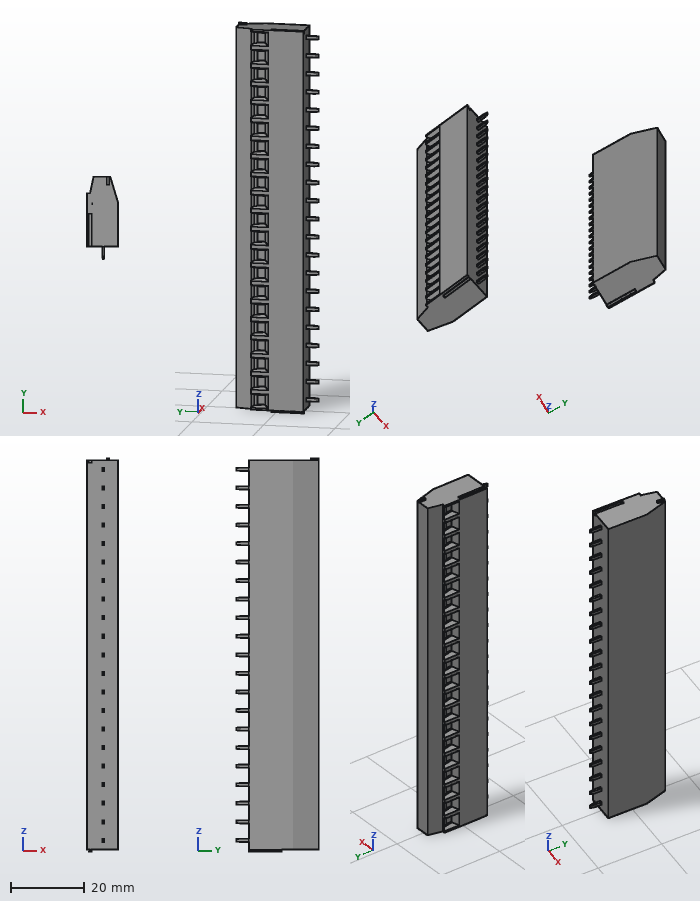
import cadquery as cq

POLES = 21
TOTAL_LENGTH = 107.7
TOP_RIB_HEIGHT = 0.4
BOTTOM_TAB_HEIGHT = 0.5
BODY_LENGTH = TOTAL_LENGTH - TOP_RIB_HEIGHT - BOTTOM_TAB_HEIGHT
PITCH = BODY_LENGTH / POLES

BODY_WIDTH = 8.6
BODY_DEPTH = 19.2
SHELF_DEPTH = 4.5
SHELF_Y = BODY_DEPTH - SHELF_DEPTH
SHELF_WIDTH = 0.9
NOSE_LEFT_X = 1.8
NOSE_RIGHT_X = BODY_WIDTH - 2.2
RIGHT_SLOPE_DEPTH = 7.1

ENTRY_Y = 9.7
ENTRY_HEIGHT = 4.0
FUNNEL_DEPTH = 1.6
LIP_Y = 13.9
LIP_DEPTH = 1.2
MOUTH_DEPTH = 0.4
HOLE_Y = 11.0
HOLE_END_Y = 13.1
HOLE_HEIGHT = 2.7
HOLE_DEPTH = 1.9

PIN_X = 4.5
PIN_THICKNESS = 0.6
PIN_HEIGHT = 1.0
PIN_STRAIGHT = 2.3
PIN_LENGTH = 3.4
TIP_THICKNESS = 0.3
TIP_HEIGHT = 0.8

JOINT_X = 1.0
JOINT_LENGTH = 9.0
SLOT_WIDTH = 0.8
SLOT_DEPTH = 0.8
TAB_ROOT_WIDTH = 0.5
TAB_EDGE_WIDTH = 0.8

RIB_X = 5.8
RIB_WIDTH = 0.6
RIB_LENGTH = 2.2


def block(x_min, x_max, y_min, y_max, z_min, z_max):
    """Box given by its limits along each axis."""
    size = (x_max - x_min, y_max - y_min, z_max - z_min)
    return cq.Workplane("XY").box(*size, centered=False).translate((x_min, y_min, z_min))


def make_body():
    outline = [
        (0, 0),
        (BODY_WIDTH, 0),
        (BODY_WIDTH, BODY_DEPTH - RIGHT_SLOPE_DEPTH),
        (NOSE_RIGHT_X, BODY_DEPTH),
        (NOSE_LEFT_X, BODY_DEPTH),
        (SHELF_WIDTH, SHELF_Y),
        (0, SHELF_Y),
    ]
    return cq.Workplane("XY").polyline(outline).close().extrude(BODY_LENGTH)


def make_wire_entry(z):
    """Funnel narrowing into the body, with the rectangular hole at its bottom."""
    side_profile = [
        (0, ENTRY_Y),
        (FUNNEL_DEPTH, HOLE_Y),
        (LIP_DEPTH, LIP_Y),
        (MOUTH_DEPTH, SHELF_Y),
        (0, SHELF_Y),
    ]
    half_entry = ENTRY_HEIGHT / 2
    half_hole = HOLE_HEIGHT / 2
    height_profile = [
        (0, z - half_entry),
        (FUNNEL_DEPTH, z - half_hole),
        (FUNNEL_DEPTH, z + half_hole),
        (0, z + half_entry),
    ]
    side_prism = (
        cq.Workplane("XY", origin=(0, 0, z)).polyline(side_profile).close().extrude(half_entry, both=True)
    )
    height_prism = cq.Workplane("XZ").polyline(height_profile).close().extrude(-BODY_DEPTH)
    hole = block(0, HOLE_DEPTH, HOLE_Y, HOLE_END_Y, z - half_hole, z + half_hole)
    return side_prism.intersect(height_prism).union(hole)


def make_pin(z):
    """Rectangular pin with a tapered tip, pointing along -Y."""
    half_x = PIN_THICKNESS / 2
    half_z = PIN_HEIGHT / 2
    shank = block(PIN_X - half_x, PIN_X + half_x, -PIN_STRAIGHT, 0, z - half_z, z + half_z)
    tip = (
        cq.Workplane("XZ", origin=(PIN_X, -PIN_STRAIGHT, z))
        .rect(PIN_THICKNESS, PIN_HEIGHT)
        .workplane(offset=PIN_LENGTH - PIN_STRAIGHT)
        .rect(TIP_THICKNESS, TIP_HEIGHT)
        .loft(ruled=True)
    )
    return shank.union(tip)


def make_joint_tab():
    """Tab under the bottom end, slightly wider at its free edge."""
    half_root = TAB_ROOT_WIDTH / 2
    half_edge = TAB_EDGE_WIDTH / 2
    section = [
        (JOINT_X - half_root, 0),
        (JOINT_X + half_root, 0),
        (JOINT_X + half_edge, -BOTTOM_TAB_HEIGHT),
        (JOINT_X - half_edge, -BOTTOM_TAB_HEIGHT),
    ]
    return cq.Workplane("XZ").polyline(section).close().extrude(-JOINT_LENGTH)


joint_slot = block(
    JOINT_X - SLOT_WIDTH / 2, JOINT_X + SLOT_WIDTH / 2,
    0, JOINT_LENGTH,
    BODY_LENGTH - SLOT_DEPTH, BODY_LENGTH,
)
top_rib = block(
    RIB_X - RIB_WIDTH / 2, RIB_X + RIB_WIDTH / 2,
    BODY_DEPTH - RIB_LENGTH, BODY_DEPTH,
    BODY_LENGTH, BODY_LENGTH + TOP_RIB_HEIGHT,
)

result = make_body().cut(joint_slot).union(top_rib).union(make_joint_tab())

for pole in range(POLES):
    pole_z = (pole + 0.5) * PITCH
    result = result.cut(make_wire_entry(pole_z)).union(make_pin(pole_z))